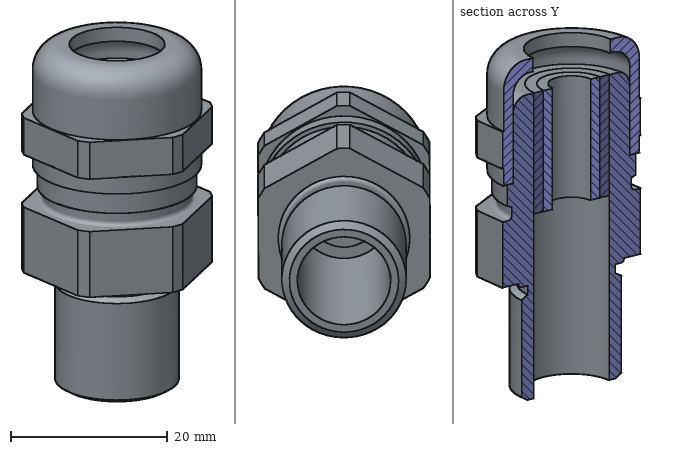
import cadquery as cq
import math

total_height = 46.3
nut_bottom = 29.88
nut_hex_bottom = 32.25
nut_hex_top = 37.3
base_hex_bottom = 16.05
base_hex_top = 25.05
insert_top = 41.55

hex_across_flats = 22.0
hex_across_corners = 24.5
hex_corner_radius = hex_across_corners / 2

nut_radius = 10.85
nut_flat_radius = 7.35
nut_mouth_radius = 6.1
nut_lip_depth = 1.9
cavity_radius = 9.25
cavity_rounding = 2.6

thread_radius = 7.95
thread_chamfer_height = 0.6
relief_radius = 7.0
relief_bottom = 14.35
thread_top = 13.8
collar_radius = 8.45
collar_height = 0.55
neck_radius = 9.55
neck_fillet = 0.6
shoulder_radius = 10.25
shoulder_bottom = 27.0
shoulder_chamfer_height = 0.3
dome_flat_radius = 7.23
base_bore_radius = 5.98

seal_joint_radius = 4.45
cable_hole_radius = 3.0
seal_bottom = base_hex_top


def revolve_about_z(profile):
    """Revolve a closed radius-height profile a full turn about Z."""
    return profile.close().revolve(360, (0, 0, 0), (0, 1, 0))


def cylinder(radius, bottom, top):
    return cq.Workplane("XY").workplane(offset=bottom).circle(radius).extrude(top - bottom)


def hexagon(bottom, top):
    """Hexagonal prism with flats facing +-X and its corners turned to a circle."""
    sharp_across_corners = hex_across_flats / math.cos(math.pi / 6)
    prism = (
        cq.Workplane("XY")
        .workplane(offset=bottom)
        .transformed(rotate=(0, 0, 90))
        .polygon(6, sharp_across_corners)
        .extrude(top - bottom)
    )
    return prism.intersect(cylinder(hex_corner_radius, bottom, top))


def nut_cavity():
    """Room for the base: a straight bore with a rounded ceiling under the lip."""
    ceiling = total_height - nut_lip_depth
    bore = cylinder(cavity_radius, nut_bottom, ceiling)
    return bore.faces(">Z").edges().fillet(cavity_rounding)


def make_cap_nut():
    barrel = cylinder(nut_radius, nut_bottom, total_height)
    barrel = barrel.faces(">Z").edges().fillet(nut_radius - nut_flat_radius)
    mouth = cylinder(nut_mouth_radius, nut_bottom, total_height)
    return barrel.union(hexagon(nut_hex_bottom, nut_hex_top)).cut(nut_cavity()).cut(mouth)


def turned_base_body():
    """Round outside of the base below the cap nut; the collar's lower edge is fully rounded."""
    collar_bottom = base_hex_bottom - collar_height
    return revolve_about_z(
        cq.Workplane("XZ")
        .moveTo(0, 0)
        .lineTo(relief_radius, 0)
        .lineTo(thread_radius, thread_chamfer_height)
        .lineTo(thread_radius, thread_top)
        .lineTo(relief_radius, relief_bottom)
        .lineTo(relief_radius, collar_bottom)
        .lineTo(collar_radius - collar_height, collar_bottom)
        .radiusArc((collar_radius, base_hex_bottom), -collar_height)
        .lineTo(shoulder_radius, base_hex_bottom)
        .lineTo(shoulder_radius, base_hex_top)
        .lineTo(neck_radius + neck_fillet, base_hex_top)
        .radiusArc((neck_radius, base_hex_top + neck_fillet), neck_fillet)
        .lineTo(neck_radius, shoulder_bottom - shoulder_chamfer_height)
        .lineTo(shoulder_radius, shoulder_bottom)
        .lineTo(shoulder_radius, nut_bottom)
        .lineTo(0, nut_bottom)
    )


def clamping_end():
    """Domed end that fills the nut's bore and grips the seals."""
    clamp = cylinder(cavity_radius, nut_bottom, insert_top)
    return clamp.faces(">Z").edges().fillet(cavity_radius - dome_flat_radius)


def make_base():
    bore = cylinder(base_bore_radius, 0, insert_top)
    outside = turned_base_body().union(hexagon(base_hex_bottom, base_hex_top)).union(clamping_end())
    return outside.cut(bore)


def make_seal(outer_radius, inner_radius):
    """Plain sleeve, flush with the top of the base's clamping end."""
    sleeve = cylinder(outer_radius, seal_bottom, insert_top)
    return sleeve.cut(cylinder(inner_radius, seal_bottom, insert_top))


cap_nut = make_cap_nut()
base = make_base()
outer_seal = make_seal(base_bore_radius, seal_joint_radius)
inner_seal = make_seal(seal_joint_radius, cable_hole_radius)

result = cq.Compound.makeCompound([cap_nut.val(), base.val(), outer_seal.val(), inner_seal.val()])